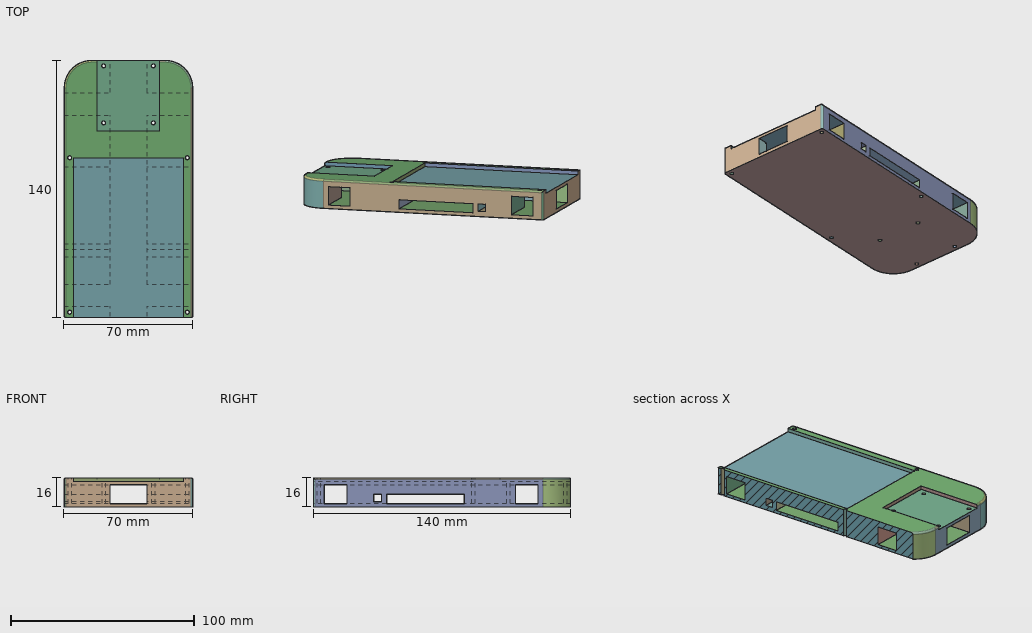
import cadquery as cq

body_width = 70.0
body_length = 140.0
body_height = 16.0
back_corner_radius = 15.0
edge_radius = 1.0

screen_width = 60.0
screen_length = 87.0
screen_depth = 2.0

board_width = 34.0
board_length = 38.5
board_depth = 2.0

screw_diameter = 2.0
screw_margin = 3.0
screen_screw_spacing_x = body_width - 2 * screw_margin
screen_screw_spacing_y = 84.0
board_screw_spacing_x = 27.0
board_screw_spacing_y = 31.0

floor_thickness = 2.0
tall_passage_height = 10.2
long_passage_width = 20.0
cross_window_length = 12.2
front_window_start = 6.0
back_window_start = 110.0
slot_start = 40.0
slot_length = 42.0
slot_height = 5.0
small_window_start = 33.0
small_window_size = 4.0
small_window_floor = 3.0


def make_block():
    """Plain block with the outer size of the part."""
    return cq.Workplane("XY").box(body_width, body_length, body_height, centered=(True, False, False))


def make_body():
    """Block with round back corners, a softened top rim and softened upright front edges.

    The front face meets the top sharply, so the rim and the upright edges are
    rounded on separate blocks and the body is what the two blocks share.
    """
    rimmed_block = make_block().edges("|Z and >Y").fillet(back_corner_radius)
    rimmed_block = rimmed_block.faces(">Z").edges("not <Y").fillet(edge_radius)
    front_rounded_block = make_block().edges("|Z and <Y").fillet(edge_radius)
    return rimmed_block.intersect(front_rounded_block)


def top_recess(width, length, depth, start_y):
    """Rectangular cutter, centred in X, sunk into the top face."""
    return (
        cq.Workplane("XY", origin=(0, start_y, body_height - depth))
        .box(width, length, depth, centered=(True, False, False))
    )


def cross_passage(start_y, length, bottom_z, height):
    """Rectangular cutter running across the whole width."""
    return (
        cq.Workplane("XY", origin=(0, start_y, bottom_z))
        .box(body_width, length, height, centered=(True, False, False))
    )


def long_passage():
    """Rectangular cutter running from the front face to the back face."""
    return (
        cq.Workplane("XY", origin=(0, 0, floor_thickness))
        .box(long_passage_width, body_length, tall_passage_height, centered=(True, False, False))
    )


def screw_holes(spacing_x, spacing_y, center_y):
    """Four through-hole cutters on a rectangle centred in X."""
    return (
        cq.Workplane("XY", origin=(0, center_y, 0))
        .rect(spacing_x, spacing_y, forConstruction=True)
        .vertices()
        .circle(screw_diameter / 2)
        .extrude(body_height)
    )


cutters = [
    top_recess(screen_width, screen_length, screen_depth, 0),
    top_recess(board_width, board_length, board_depth, body_length - board_length),
    screw_holes(screen_screw_spacing_x, screen_screw_spacing_y, screw_margin + screen_screw_spacing_y / 2),
    screw_holes(
        board_screw_spacing_x,
        board_screw_spacing_y,
        body_length - screw_margin - board_screw_spacing_y / 2,
    ),
    cross_passage(front_window_start, cross_window_length, floor_thickness, tall_passage_height),
    cross_passage(back_window_start, cross_window_length, floor_thickness, tall_passage_height),
    cross_passage(slot_start, slot_length, floor_thickness, slot_height),
    cross_passage(small_window_start, small_window_size, small_window_floor, small_window_size),
    long_passage(),
]

result = make_body()
for cutter in cutters:
    result = result.cut(cutter)